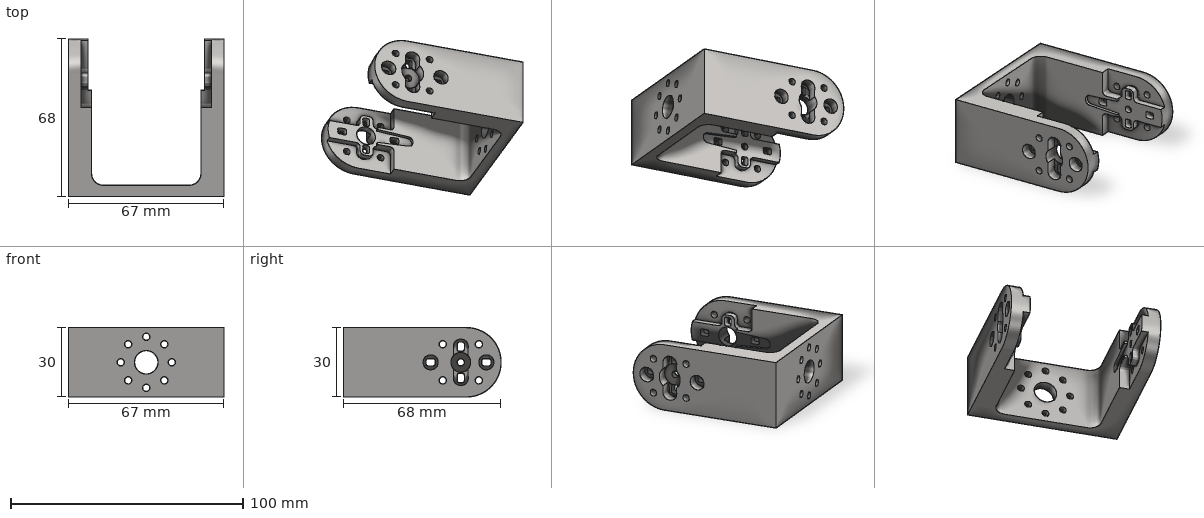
import cadquery as cq

width = 67.0
length = 68.0
height = 30.0

base_thickness = 5.0
arm_thickness = 10.0
inner_corner_radius = 5.0

web_thickness = 5.5
rib_thickness = 8.5

arc_center_y = length - height / 2
pivot_y = 50.6
thick_wall_end_y = 38.35
tongue_end_y = 45.9

rib_half_width = 4.25
cross_bar_width = 6.0
cross_bar_y = 50.35
cross_bar_half_height = 9.75
rib_fillet = 2.0

horn_start_half_width = 3.2
horn_end_half_width = 2.35
horn_taper_end = 18.6

screw_diameter = 3.0
screw_ring_radius = 11.0
base_screw_count = 8
arm_screw_count = 4
arm_screw_start_angle = 45
base_bore_diameter = 10.0
pivot_pocket_diameter = 10.0
pivot_bore_diameter = 8.5
slot_length = 3.9
slot_width = 3.0
slot_corner_radius = 0.85
slot_pocket_diameter = 6.5
slot_pocket_depth = 5.0
neck_width = 6.4
front_slot_offset = 11.0
rear_slot_offset = 13.0
cross_slot_offset = 6.75


def box(x_range, y_range, z_range):
    """Box between the given (low, high) limits."""
    size = [high - low for low, high in (x_range, y_range, z_range)]
    return (
        cq.Workplane("XY")
        .box(*size, centered=False)
        .translate((x_range[0], y_range[0], z_range[0]))
    )


def arm_plane(depth=0.0):
    """YZ plane centred on the pivot, at a depth inward from the outer face of the -X arm."""
    return cq.Workplane("YZ", origin=(depth - width / 2, pivot_y, 0))


def side_outline(thickness):
    """Side profile of an arm, square at the base and round at the tip, at the -X side."""
    return (
        cq.Workplane("YZ", origin=(-width / 2, 0, 0))
        .moveTo(0, -height / 2)
        .lineTo(arc_center_y, -height / 2)
        .threePointArc((length, 0), (arc_center_y, height / 2))
        .lineTo(0, height / 2)
        .close()
        .extrude(thickness)
    )


def cross_rib():
    """Thick wall, tongue and cross bar that stand on the web, with rounded vertical corners."""
    x_range = (web_thickness - width / 2, arm_thickness - width / 2)
    rib = box(x_range, (0, thick_wall_end_y), (-height / 2, height / 2))
    rib = rib.union(box(x_range, (0, length), (-rib_half_width, rib_half_width)))
    rib = rib.union(
        box(
            x_range,
            (cross_bar_y - cross_bar_width / 2, cross_bar_y + cross_bar_width / 2),
            (-cross_bar_half_height, cross_bar_half_height),
        )
    )
    corners = cq.selectors.BoxSelector(
        (-width, thick_wall_end_y - rib_fillet, -cross_bar_half_height - rib_fillet),
        (width, arc_center_y + rib_fillet, cross_bar_half_height + rib_fillet),
    )
    rib = rib.edges("|X").edges(corners).fillet(rib_fillet)

    lowered_front = box(
        (rib_thickness - width / 2, arm_thickness - width / 2),
        (tongue_end_y, length),
        (-height / 2, height / 2),
    )
    return rib.cut(lowered_front)


def horn_recess():
    """Shallow tapered recess with a round end, open towards the tip of the arm."""
    start = tongue_end_y - pivot_y
    return (
        arm_plane(rib_thickness)
        .moveTo(start, -horn_start_half_width)
        .lineTo(-horn_taper_end, -horn_end_half_width)
        .threePointArc(
            (-horn_taper_end - horn_end_half_width, 0),
            (-horn_taper_end, horn_end_half_width),
        )
        .lineTo(start, horn_start_half_width)
        .close()
        .extrude(arm_thickness - rib_thickness)
    )


def slot_holes(positions, y_size, z_size):
    """Round-cornered through slots, each with a round pocket in the outer face."""
    slots = (
        arm_plane()
        .pushPoints(positions)
        .rect(y_size, z_size)
        .extrude(arm_thickness)
        .edges("|X")
        .fillet(slot_corner_radius)
    )
    pockets = (
        arm_plane()
        .pushPoints(positions)
        .circle(slot_pocket_diameter / 2)
        .extrude(slot_pocket_depth)
    )
    return slots.union(pockets)


def arm_holes():
    """Holes that both arms share."""
    row_slots = slot_holes([(front_slot_offset, 0), (-rear_slot_offset, 0)], slot_length, slot_width)
    cross_slots = slot_holes([(0, cross_slot_offset), (0, -cross_slot_offset)], slot_width, slot_length)
    neck = arm_plane().rect(neck_width, 2 * cross_slot_offset).extrude(slot_pocket_depth)
    screws = (
        arm_plane()
        .polarArray(screw_ring_radius, arm_screw_start_angle, 360, arm_screw_count)
        .circle(screw_diameter / 2)
        .extrude(arm_thickness)
    )
    return row_slots.union(cross_slots).union(neck).union(screws)


def plain_arm():
    """The -X arm with every feature that is mirrored on the +X arm."""
    arm = side_outline(web_thickness)
    arm = arm.union(cross_rib().intersect(side_outline(arm_thickness)))
    return arm.cut(horn_recess()).cut(arm_holes())


def base_plate():
    """Back plate with inner corner fillets, a central bore and a ring of screw holes."""
    inner_half_width = width / 2 - arm_thickness
    plate = box(
        (-width / 2, width / 2),
        (0, base_thickness + inner_corner_radius),
        (-height / 2, height / 2),
    )
    opening = box(
        (-inner_half_width, inner_half_width),
        (base_thickness, length),
        (-height / 2, height / 2),
    )
    opening = opening.edges("|Z and <Y").fillet(inner_corner_radius)
    back_face = cq.Workplane("XZ")
    bore = back_face.circle(base_bore_diameter / 2).extrude(-base_thickness)
    screws = (
        back_face.polarArray(screw_ring_radius, 0, 360, base_screw_count)
        .circle(screw_diameter / 2)
        .extrude(-base_thickness)
    )
    return plate.cut(opening).cut(bore).cut(screws)


def left_arm():
    """-X arm: blind pivot pocket in the outer face with a screw hole through its floor."""
    pocket = arm_plane().circle(pivot_pocket_diameter / 2).extrude(web_thickness)
    screw = arm_plane().circle(screw_diameter / 2).extrude(arm_thickness)
    return plain_arm().cut(pocket).cut(screw)


def right_arm():
    """+X arm: plain pivot bore through the whole arm."""
    bore = arm_plane().circle(pivot_bore_diameter / 2).extrude(arm_thickness)
    return plain_arm().cut(bore).mirror("YZ")


result = base_plate().union(left_arm()).union(right_arm()).clean()